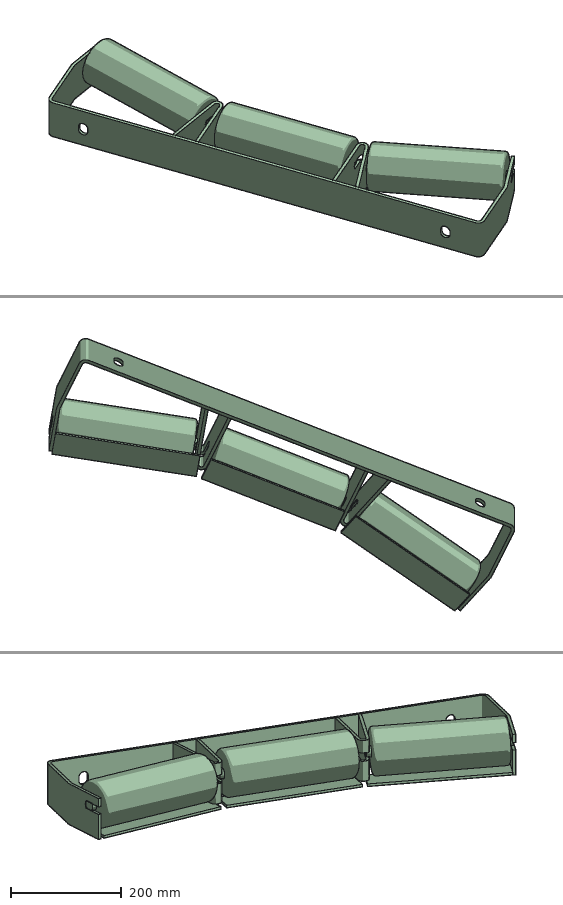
import cadquery as cq
import math

SHEET = 6.0
HEIGHT = 80.0

LENGTH = 860.0
FRAME_INNER_BEND = 7.0
FRAME_OUTER_BEND = FRAME_INNER_BEND + SHEET
WING_BEND_Y = 113.5
WING_END_Y = 199.5
MOUNT_SLOT_X = 358.0
MOUNT_SLOT_WIDTH = 18.0
MOUNT_SLOT_HEIGHT = 26.0
MOUNT_SLOT_Z = 38.0

SWING = 15.0
TILT = 2.0
MIDDLE_ROLLER_CENTER = (0, 101.0, 48.0)
OUTER_ROLLER_X = 284.0
OUTER_ROLLER_Y = 136.0
OUTER_ROLLER_Z = 52.0
ROLLER_DIAMETER = 90.0
ROLLER_LENGTH = 250.0
ROLLER_ROUND = 6.0

SHAFT_RADIUS = 10.0
SHAFT_ROUND_LENGTH = 258.0
SHAFT_LENGTH = 268.0
SHAFT_FLATS = 15.0
SLOT_REACH = 146.0

BRACKET_FACE_X = 132.5
BRACKET_INNER_BEND = 5.0
BRACKET_OUTER_BEND = BRACKET_INNER_BEND + SHEET
BRACKET_BEND_Y = 113.5

STRIP_LENGTH = 2 * BRACKET_FACE_X
STRIP_BACK = 38.0
STRIP_WIDTH = 43.0
STRIP_THICKNESS = 5.0
STRIP_DROP = 52.5
OUTER_STRIP_SHIFT = 5.0

SIDES = (-1, 1)
STATIONS = (-1, 0, 1)
SIN = math.sin(math.radians(SWING))
COS = math.cos(math.radians(SWING))


def place(body, station):
    """Move a body built around the origin along X to the left, middle or right roller axis."""
    if station == 0:
        return body.translate(MIDDLE_ROLLER_CENTER)
    body = body.rotate((0, 0, 0), (0, 1, 0), -station * TILT)
    body = body.rotate((0, 0, 0), (0, 0, 1), station * SWING)
    return body.translate((station * OUTER_ROLLER_X, OUTER_ROLLER_Y, OUTER_ROLLER_Z))


def round_bar(radius, length):
    """Bar along X, centered on the origin, with its seam underneath."""
    end = cq.Plane(origin=(-length / 2, 0, 0), xDir=(0, 0, -1), normal=(1, 0, 0))
    return cq.Workplane(end).circle(radius).extrude(length)


def flattened_bar(length):
    """Shaft-sized bar along X, flattened above and below."""
    flats = cq.Workplane("XY").box(length, 2 * SHAFT_RADIUS, SHAFT_FLATS)
    return round_bar(SHAFT_RADIUS, length).intersect(flats)


def shaft_slots(station):
    """Cutters at both ends of a roller: the flattened outline carried on toward +Y."""
    open_side = ROLLER_DIAMETER
    channel = cq.Workplane("XY").box(2 * SLOT_REACH, open_side, SHAFT_FLATS)
    cutter = flattened_bar(2 * SLOT_REACH).union(channel.translate((0, open_side / 2, 0)))
    return place(cutter, station)


def make_frame():
    half = LENGTH / 2
    lean = (WING_END_Y - WING_BEND_Y) * SIN / COS
    inner_bend_y = WING_BEND_Y - SHEET * math.tan(math.radians(SWING / 2))
    right = [
        (half, 0),
        (half, WING_BEND_Y),
        (half - lean, WING_END_Y),
        (half - lean - SHEET * COS, WING_END_Y - SHEET * SIN),
        (half - SHEET, inner_bend_y),
        (half - SHEET, SHEET),
    ]
    left = [(-x, y) for x, y in reversed(right)]
    frame = cq.Workplane("XY").polyline(right + left).close().extrude(HEIGHT)
    for side in SIDES:
        bends = (
            (half, 0, FRAME_OUTER_BEND),
            (half - SHEET, SHEET, FRAME_INNER_BEND),
            (half, WING_BEND_Y, FRAME_OUTER_BEND),
            (half - SHEET, inner_bend_y, FRAME_INNER_BEND),
        )
        for x, y, radius in bends:
            corner = cq.selectors.NearestToPointSelector((side * x, y, HEIGHT / 2))
            frame = frame.edges(corner).fillet(radius)
    mount_slots = (
        cq.Workplane("XZ", origin=(0, 0, MOUNT_SLOT_Z))
        .pushPoints([(side * MOUNT_SLOT_X, 0) for side in SIDES])
        .slot2D(MOUNT_SLOT_HEIGHT, MOUNT_SLOT_WIDTH, 90)
        .extrude(-SHEET)
    )
    frame = frame.cut(mount_slots)
    for side in SIDES:
        frame = frame.cut(shaft_slots(side))
    return frame


def make_bracket(side):
    bend_x = BRACKET_FACE_X + BRACKET_OUTER_BEND

    def sloping_top(radius):
        return (bend_x + radius * COS, BRACKET_BEND_Y + radius * SIN)

    def sloping_foot(radius):
        x, y = sloping_top(radius)
        return (x + (y - SHEET) * SIN / COS, SHEET)

    def crown(radius):
        angle = math.radians((180 + SWING) / 2)
        return (bend_x + radius * math.cos(angle), BRACKET_BEND_Y + radius * math.sin(angle))

    bracket = (
        cq.Workplane("XY")
        .moveTo(bend_x - BRACKET_OUTER_BEND, SHEET)
        .lineTo(bend_x - BRACKET_OUTER_BEND, BRACKET_BEND_Y)
        .threePointArc(crown(BRACKET_OUTER_BEND), sloping_top(BRACKET_OUTER_BEND))
        .lineTo(*sloping_foot(BRACKET_OUTER_BEND))
        .lineTo(*sloping_foot(BRACKET_INNER_BEND))
        .lineTo(*sloping_top(BRACKET_INNER_BEND))
        .threePointArc(crown(BRACKET_INNER_BEND), (bend_x - BRACKET_INNER_BEND, BRACKET_BEND_Y))
        .lineTo(bend_x - BRACKET_INNER_BEND, SHEET)
        .close()
        .extrude(HEIGHT)
    )
    if side < 0:
        bracket = bracket.mirror("YZ")
    return bracket.cut(shaft_slots(0)).cut(shaft_slots(side))


def make_roller(station):
    roller = round_bar(ROLLER_DIAMETER / 2, ROLLER_LENGTH).edges("%CIRCLE").fillet(ROLLER_ROUND)
    roller = roller.union(round_bar(SHAFT_RADIUS, SHAFT_ROUND_LENGTH))
    return place(roller.union(flattened_bar(SHAFT_LENGTH)), station)


def make_guard_strip(station):
    strip = cq.Workplane("XY").box(STRIP_LENGTH, STRIP_WIDTH, STRIP_THICKNESS)
    center_y = STRIP_BACK - STRIP_WIDTH / 2
    center_z = STRIP_THICKNESS / 2 - STRIP_DROP
    return place(strip.translate((-station * OUTER_STRIP_SHIFT, center_y, center_z)), station)


frame = make_frame()
brackets = [make_bracket(side) for side in SIDES]
rollers = [make_roller(station) for station in STATIONS]
guard_strips = [make_guard_strip(station) for station in STATIONS]

bodies = [frame, *brackets, *rollers, *guard_strips]
result = cq.Compound.makeCompound([body.val() for body in bodies])